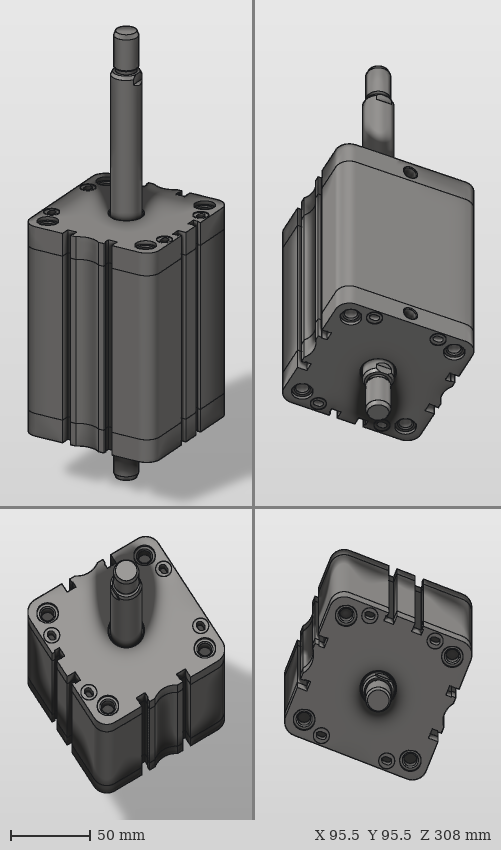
import cadquery as cq

TOTAL_HEIGHT = 308.0
BODY_BOTTOM = 37.0
BODY_HEIGHT = 144.8
CAP_HEIGHT = 15.7
BARREL_HEIGHT = BODY_HEIGHT - 2 * CAP_HEIGHT

WIDTH = 95.5
HALF_WIDTH = WIDTH / 2
CORNER_RADIUS = 9.5
CUT_MARGIN = 3.0

SIDE_SLOT_MOUTH = (12.3, 18.2)
SIDE_SLOT_UNDERCUT = (11.7, 18.2)
SIDE_SLOT_DEPTH = 6.5
SIDE_SLOT_LIP = 2.8
BACK_SLOT_MOUTH = (6.2, 11.7)
BACK_SLOT_UNDERCUT = (6.2, 12.5)
BACK_SLOT_DEPTH = 6.0
BACK_SLOT_LIP = 2.2

GROOVE_HALF_WIDTH = 8.3
GROOVE_DEPTH = 2.8

ROD_DIAMETER = 20.0
THREAD_DIAMETER = 16.0
NECK_DIAMETER = 13.5
ROD_END_LENGTH = 27.7
NECK_LENGTH = 2.2
THREAD_CHAMFER = (THREAD_DIAMETER - NECK_DIAMETER) / 2
TIP_CHAMFER_LENGTH = 3.0
SHOULDER_CHAMFER = 1.2
SHOULDER_CHAMFER_LENGTH = 2.5
WRENCH_WIDTH = 17.0
WRENCH_FLAT_LENGTH = 6.0
WRENCH_RUNOUT = 2.0

RECESS_DIAMETER = 22.0
RECESS_MOUTH_DIAMETER = 23.0
RECESS_CHAMFER = (RECESS_MOUTH_DIAMETER - RECESS_DIAMETER) / 2
RECESS_DEPTH = 3.0

MOUNT_OFFSET = 36.0
MOUNT_COUNTERBORE_DIAMETER = 13.5
MOUNT_COUNTERBORE_DEPTH = 2.5
MOUNT_CHAMFER_DIAMETER = 10.2
MOUNT_HOLE_DIAMETER = 8.3
MOUNT_CHAMFER = (MOUNT_CHAMFER_DIAMETER - MOUNT_HOLE_DIAMETER) / 2
MOUNT_HOLE_DEPTH = 12.3

SMALL_X = 41.5
SMALL_Y = 22.2
SMALL_DIAMETER = 10.2
SMALL_DEPTH = 0.5
OBLONG_LENGTH = 6.5
OBLONG_WIDTH = 4.5
OBLONG_DEPTH = 9.2

PORT_DIAMETER = 8.5
PORT_MOUTH_DIAMETER = 10.0
PORT_CHAMFER = (PORT_MOUTH_DIAMETER - PORT_DIAMETER) / 2
PORT_DEPTH = 9.2
PORT_HEIGHT = 7.5


def cutter(x_range, y_range, height):
    """Upright block between the given X and Y limits, standing on Z = 0."""
    return (
        cq.Workplane("XY")
        .moveTo(x_range[0], y_range[0])
        .lineTo(x_range[1], y_range[0])
        .lineTo(x_range[1], y_range[1])
        .lineTo(x_range[0], y_range[1])
        .close()
        .extrude(height)
    )


def slot(mouth, undercut, depth, lip, height):
    """Undercut slot in the +Y face, on the +X side of the face centre."""
    opening = cutter(mouth, (HALF_WIDTH - depth, HALF_WIDTH + CUT_MARGIN), height)
    pocket = cutter(undercut, (HALF_WIDTH - depth, HALF_WIDTH - lip), height)
    return opening.union(pocket)


def slot_pair(mouth, undercut, depth, lip, height):
    """Two mirrored undercut slots in the +Y face."""
    single = slot(mouth, undercut, depth, lip, height)
    return single.union(single.mirror("YZ"))


def groove(height):
    """Arc groove along the middle of the +Y face."""
    return (
        cq.Workplane("XY")
        .moveTo(-GROOVE_HALF_WIDTH, HALF_WIDTH)
        .threePointArc((0, HALF_WIDTH - GROOVE_DEPTH), (GROOVE_HALF_WIDTH, HALF_WIDTH))
        .lineTo(GROOVE_HALF_WIDTH, HALF_WIDTH + CUT_MARGIN)
        .lineTo(-GROOVE_HALF_WIDTH, HALF_WIDTH + CUT_MARGIN)
        .close()
        .extrude(height)
    )


def profile_block(height):
    """Slotted square block standing on Z = 0, with a bore that fits the rod."""
    block = (
        cq.Workplane("XY")
        .rect(WIDTH, WIDTH)
        .extrude(height)
        .edges("|Z")
        .fillet(CORNER_RADIUS)
    )
    side_cut = slot_pair(SIDE_SLOT_MOUTH, SIDE_SLOT_UNDERCUT, SIDE_SLOT_DEPTH, SIDE_SLOT_LIP, height)
    side_cut = side_cut.union(groove(height))
    back_cut = slot_pair(BACK_SLOT_MOUTH, BACK_SLOT_UNDERCUT, BACK_SLOT_DEPTH, BACK_SLOT_LIP, height)
    back_cut = back_cut.rotate((0, 0, 0), (0, 0, 1), -90)
    rod_bore = cq.Workplane("XY").circle(ROD_DIAMETER / 2).extrude(height)
    return block.cut(side_cut).cut(side_cut.mirror("XZ")).cut(back_cut).cut(rod_bore)


def chamfered_hole(mouth_diameter, diameter, chamfer, depth):
    """Round hole running down from Z = 0, with a chamfered mouth."""
    return (
        cq.Workplane("XZ")
        .lineTo(mouth_diameter / 2, 0)
        .lineTo(diameter / 2, -chamfer)
        .lineTo(diameter / 2, -depth)
        .lineTo(0, -depth)
        .close()
        .revolve(360, (0, 0, 0), (0, 1, 0))
    )


def mount_hole():
    """Counterbored hole with a chamfer at the counterbore floor, running down from Z = 0."""
    counterbore = (
        cq.Workplane("XY").circle(MOUNT_COUNTERBORE_DIAMETER / 2).extrude(-MOUNT_COUNTERBORE_DEPTH)
    )
    hole_depth = MOUNT_HOLE_DEPTH - MOUNT_COUNTERBORE_DEPTH
    hole = chamfered_hole(MOUNT_CHAMFER_DIAMETER, MOUNT_HOLE_DIAMETER, MOUNT_CHAMFER, hole_depth)
    return counterbore.union(hole.translate((0, 0, -MOUNT_COUNTERBORE_DEPTH)))


def small_recess():
    """Round recess with an oblong hole in its floor, running down from Z = 0."""
    recess = cq.Workplane("XY").circle(SMALL_DIAMETER / 2).extrude(-SMALL_DEPTH)
    oblong = cq.Workplane("XY").slot2D(OBLONG_LENGTH, OBLONG_WIDTH, 90).extrude(-OBLONG_DEPTH)
    return recess.union(oblong)


def make_cap():
    """End cap with its inner face on Z = 0 and its outer face up."""
    cap = profile_block(CAP_HEIGHT)
    rod_recess = chamfered_hole(RECESS_MOUTH_DIAMETER, RECESS_DIAMETER, RECESS_CHAMFER, RECESS_DEPTH)
    cap = cap.cut(rod_recess.translate((0, 0, CAP_HEIGHT)))
    for x_side in (-1, 1):
        for y_side in (-1, 1):
            mount_place = (x_side * MOUNT_OFFSET, y_side * MOUNT_OFFSET, CAP_HEIGHT)
            small_place = (x_side * SMALL_X, y_side * SMALL_Y, CAP_HEIGHT)
            cap = cap.cut(mount_hole().translate(mount_place))
            cap = cap.cut(small_recess().translate(small_place))
    port = chamfered_hole(PORT_MOUTH_DIAMETER, PORT_DIAMETER, PORT_CHAMFER, PORT_DEPTH)
    port = port.rotate((0, 0, 0), (0, 1, 0), -90)
    return cap.cut(port.translate((-HALF_WIDTH, 0, PORT_HEIGHT)))


def make_barrel():
    """Profile tube between the two caps."""
    return profile_block(BARREL_HEIGHT).translate((0, 0, BODY_BOTTOM + CAP_HEIGHT))


def wrench_cut():
    """Cutter for the +X wrench flat of the upper rod end, with a sloped run-out."""
    shoulder = TOTAL_HEIGHT - ROD_END_LENGTH
    flat_end = shoulder - WRENCH_FLAT_LENGTH
    flat_x = WRENCH_WIDTH / 2
    rod_radius = ROD_DIAMETER / 2
    return (
        cq.Workplane("XZ")
        .moveTo(flat_x, shoulder)
        .lineTo(flat_x, flat_end)
        .lineTo(rod_radius, flat_end - WRENCH_RUNOUT)
        .lineTo(rod_radius, shoulder)
        .close()
        .extrude(rod_radius, both=True)
    )


def make_rod():
    """Through rod with the same threaded end at the top and at the bottom."""
    middle = TOTAL_HEIGHT / 2
    shoulder = TOTAL_HEIGHT - ROD_END_LENGTH
    thread_start = shoulder + NECK_LENGTH
    rod_radius = ROD_DIAMETER / 2
    thread_radius = THREAD_DIAMETER / 2
    neck_radius = NECK_DIAMETER / 2
    upper_half = (
        cq.Workplane("XZ")
        .moveTo(0, middle)
        .lineTo(rod_radius, middle)
        .lineTo(rod_radius, shoulder - SHOULDER_CHAMFER_LENGTH)
        .lineTo(rod_radius - SHOULDER_CHAMFER, shoulder)
        .lineTo(neck_radius, shoulder)
        .lineTo(neck_radius, thread_start)
        .lineTo(thread_radius, thread_start + THREAD_CHAMFER)
        .lineTo(thread_radius, TOTAL_HEIGHT - TIP_CHAMFER_LENGTH)
        .lineTo(neck_radius, TOTAL_HEIGHT)
        .lineTo(0, TOTAL_HEIGHT)
        .close()
        .revolve(360, (0, 0, 0), (0, 1, 0))
    )
    upper_half = upper_half.cut(wrench_cut()).cut(wrench_cut().mirror("YZ"))
    lower_half = upper_half.mirror("XY", (0, 0, middle))
    return upper_half.union(lower_half)


barrel = make_barrel()
top_cap = make_cap().translate((0, 0, BODY_BOTTOM + BODY_HEIGHT - CAP_HEIGHT))
bottom_cap = make_cap().mirror("XY").translate((0, 0, BODY_BOTTOM + CAP_HEIGHT))
rod = make_rod()

result = cq.Compound.makeCompound([barrel.val(), top_cap.val(), bottom_cap.val(), rod.val()])